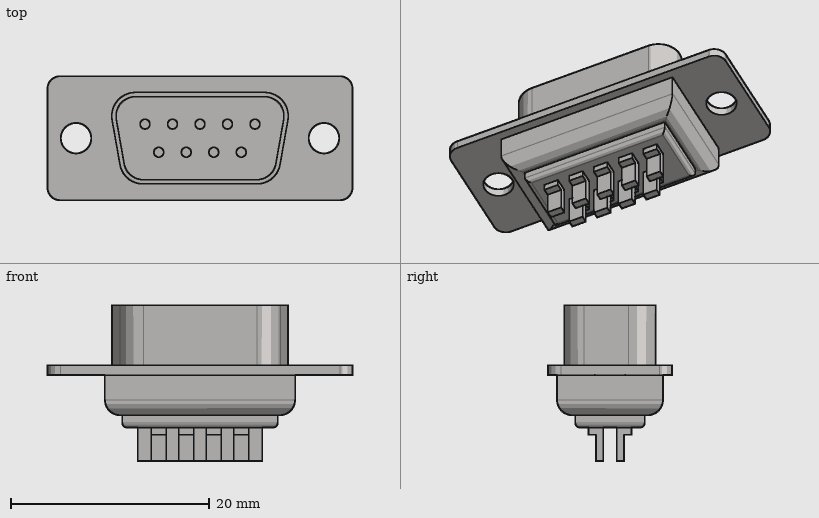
import cadquery as cq
import math

plate_length = 30.8
plate_width = 12.55
plate_thickness = 1.02
plate_corner_radius = 1.3
mount_hole_diameter = 3.05
mount_hole_spacing = 25.02

shell_length = 17.8
shell_width = 9.25
shell_height = 6.05
shell_wall = 0.43
shell_inner_radius = 3.9 / 2
shell_end_slope = math.radians(10)

body_length = 19.23
body_width = 10.72
body_height = 4.07
body_edge_radius = 1.6
foot_length = 15.7
foot_width = 7.02
foot_height = 1.23
foot_edge_radius = 0.5

contact_pitch = 2.77
row_spacing = 2.83
row_counts = {1: 5, -1: 4}
pin_diameter = 1.0
pin_height = 5.55
tail_size = 1.5
tail_length = 3.4
tail_shoulder_height = 0.75

body_bottom = -plate_thickness - body_height
foot_bottom = body_bottom - foot_height
shell_outer_radius = shell_inner_radius + shell_wall


def contact_points(side):
    """Centres of the contacts in the row on the +Y (1) or -Y (-1) side."""
    count = row_counts[side]
    first_x = -contact_pitch * (count - 1) / 2
    return [(first_x + i * contact_pitch, side * row_spacing / 2) for i in range(count)]


def make_plate():
    return (
        cq.Workplane("XY")
        .box(plate_length, plate_width, plate_thickness, centered=(True, True, False))
        .translate((0, 0, -plate_thickness))
        .edges("|Z")
        .fillet(plate_corner_radius)
        .faces(">Z")
        .workplane()
        .pushPoints([(-mount_hole_spacing / 2, 0), (mount_hole_spacing / 2, 0)])
        .hole(mount_hole_diameter)
    )


def rounded_trapezoid(corner_radius):
    """D-shaped prism as tall as the shell; all radii share the same corner centres."""
    centre_y = shell_width / 2 - shell_outer_radius
    centre_x_long = shell_length / 2 - shell_outer_radius
    half_width = centre_y + corner_radius
    slope = math.tan(shell_end_slope)
    end_x_at_long_centre = centre_x_long + corner_radius / math.cos(shell_end_slope)
    half_long = end_x_at_long_centre + corner_radius * slope
    half_short = half_long - 2 * half_width * slope
    return (
        cq.Workplane("XY")
        .polyline(
            [
                (-half_long, half_width),
                (half_long, half_width),
                (half_short, -half_width),
                (-half_short, -half_width),
            ]
        )
        .close()
        .extrude(shell_height)
        .edges("|Z")
        .fillet(corner_radius)
    )


def make_shell():
    return rounded_trapezoid(shell_outer_radius).cut(rounded_trapezoid(shell_inner_radius))


def make_block(length, width, height, top_z, edge_radius):
    """Block hanging below top_z with its bottom edges rounded."""
    return (
        cq.Workplane("XY", origin=(0, 0, top_z))
        .rect(length, width)
        .extrude(-height)
        .faces("<Z")
        .edges()
        .fillet(edge_radius)
    )


def make_pins(side):
    return (
        cq.Workplane("XY")
        .pushPoints(contact_points(side))
        .circle(pin_diameter / 2)
        .extrude(pin_height)
    )


def make_tails(side):
    """Solder tails: a square shoulder, then only the half nearer the middle."""
    points = contact_points(side)
    blade_points = [(x, y - side * tail_size / 4) for x, y in points]
    foot_plane = cq.Workplane("XY", origin=(0, 0, foot_bottom))
    shoulders = foot_plane.pushPoints(points).rect(tail_size, tail_size).extrude(-tail_shoulder_height)
    blades = foot_plane.pushPoints(blade_points).rect(tail_size, tail_size / 2).extrude(-tail_length)
    return shoulders.union(blades)


result = (
    make_plate()
    .union(make_shell())
    .union(make_block(body_length, body_width, body_height, -plate_thickness, body_edge_radius))
    .union(make_block(foot_length, foot_width, foot_height, body_bottom, foot_edge_radius))
)
for side in row_counts:
    result = result.union(make_pins(side)).union(make_tails(side))